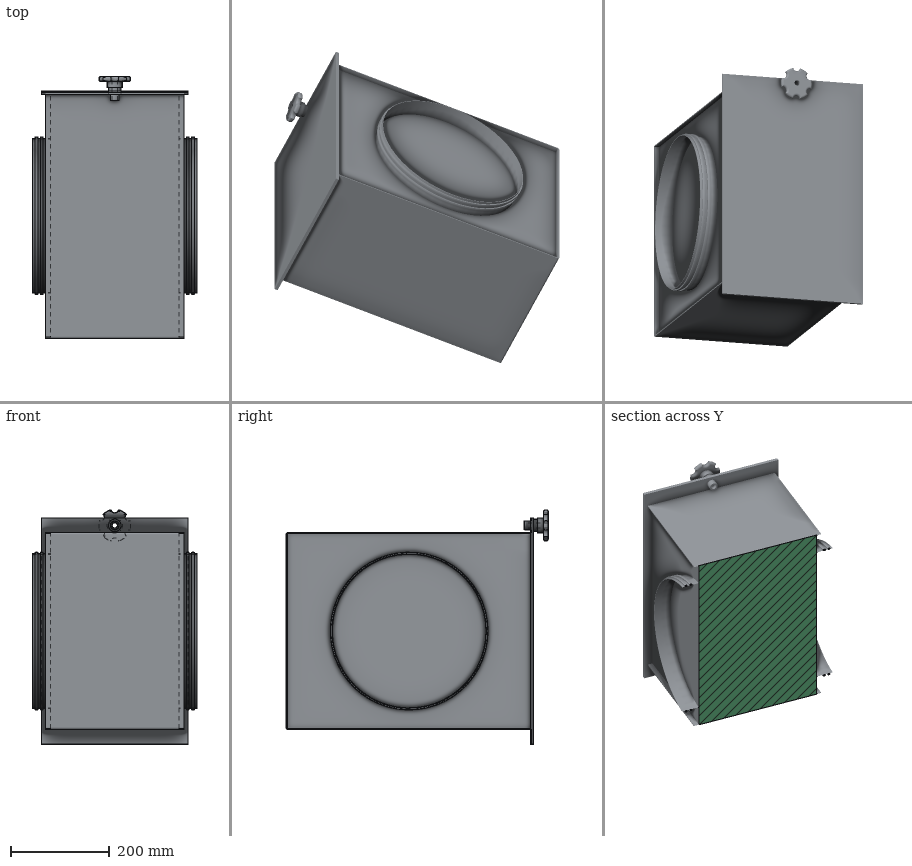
import cadquery as cq
import math

box_width = 282.0
box_height = 399.5
sheet = 3.0
edge_rim = 2.0
bend_radius = 4.0
side_recess = 10.0
flange_width = 298.0
flange_height = 459.5
flange_front = 496.0
flange_back = flange_front + sheet
cover_back = flange_back + sheet
box_bottom = (flange_height - box_height) / 2
box_centre_z = flange_height / 2

spigot_centre_y = flange_back / 2
spigot_reach = 26.0
spigot_radius = 157.0
spigot_wall = 1.0
rib_width = 6.0
rib_side_height = 2.5
rib_height = 3.0
rib_offsets = (5.5, 16.0)
spigot_end = box_width / 2 + spigot_reach
spigot_base = box_width / 2 - side_recess

lock_z = 444.0
lock_bore_radius = 5.5
nose_radius = 9.0
nose_tip = 483.0
lead_length = 2.0
lead_depth = 0.5
bushing_radius = 13.0
hub_radius = 15.5
hub_front = 509.5
knob_front = 522.0
knob_back = 532.0
knob_radius = 32.5
knob_edge_radius = 4.0
notch_count = 6
notch_radius = 7.5
notch_centre_radius = 33.0


def block(width, y_start, y_end, z_start, z_end):
    """Box centred on X between the given Y and Z limits."""
    depth = y_end - y_start
    height = z_end - z_start
    return cq.Workplane("XY").box(width, depth, height, centered=(True, False, False)).translate(
        (0, y_start, z_start)
    )


def lock_cylinder(radius, y_start, y_end):
    """Cylinder on the lock axis between two Y positions."""
    axis_plane = cq.Plane(origin=(0, y_start, lock_z), xDir=(1, 0, 0), normal=(0, 1, 0))
    return cq.Workplane(axis_plane).circle(radius).extrude(y_end - y_start)


def make_casing():
    box_top = box_bottom + box_height
    casing = block(box_width, 0, flange_front, box_bottom, box_top)
    casing = casing.edges("|X and <Y").fillet(bend_radius)
    recess = block(side_recess, sheet, flange_front, box_bottom + edge_rim, box_top - edge_rim)
    recess_centre_x = (box_width - side_recess) / 2
    for side in (-1, 1):
        casing = casing.cut(recess.translate((side * recess_centre_x, 0, 0)))
    flange = block(flange_width, flange_front, flange_back, 0, flange_height)
    lock_hole = lock_cylinder(bushing_radius, flange_front, flange_back)
    return casing.union(flange.cut(lock_hole))


def make_cover():
    cover = block(flange_width, flange_back, cover_back, 0, flange_height)
    return cover.cut(lock_cylinder(bushing_radius, flange_back, cover_back))


def make_spigot(side):
    """Thin ring with two crowned ribs; side is -1 or 1 along X."""
    profile = cq.Workplane("XY").moveTo(spigot_base, spigot_radius - spigot_wall)
    profile = profile.lineTo(spigot_end, spigot_radius - spigot_wall)
    profile = profile.lineTo(spigot_end, spigot_radius)
    for offset in rib_offsets:
        rib_start = spigot_end - offset
        profile = profile.lineTo(rib_start, spigot_radius)
        rib_finish = rib_start - rib_width
        profile = profile.lineTo(rib_start, spigot_radius + rib_side_height)
        profile = profile.threePointArc(
            (rib_start - rib_width / 2, spigot_radius + rib_height),
            (rib_finish, spigot_radius + rib_side_height),
        )
        profile = profile.lineTo(rib_finish, spigot_radius)
    profile = profile.lineTo(spigot_base, spigot_radius).close()
    spigot = profile.revolve(360, (0, 0, 0), (1, 0, 0))
    if side < 0:
        spigot = spigot.mirror("YZ")
    return spigot.translate((0, spigot_centre_y, box_centre_z))


def make_bushing():
    nose = lock_cylinder(nose_radius, nose_tip, flange_front).faces("<Y").chamfer(lead_length, lead_depth)
    bushing = lock_cylinder(bushing_radius, flange_front, hub_front).union(nose)
    return bushing.cut(lock_cylinder(lock_bore_radius, nose_tip, hub_front))


def make_knob():
    star = lock_cylinder(knob_radius, knob_front, knob_back)
    for index in range(notch_count):
        angle = math.radians(90 + index * 360 / notch_count)
        notch = lock_cylinder(notch_radius, knob_front, knob_back).translate(
            (notch_centre_radius * math.cos(angle), 0, notch_centre_radius * math.sin(angle))
        )
        star = star.cut(notch)
    star = star.faces("<Y or >Y").edges().fillet(knob_edge_radius)
    knob = star.union(lock_cylinder(hub_radius, hub_front, knob_front))
    return knob.cut(lock_cylinder(lock_bore_radius, hub_front, knob_back))


casing = make_casing()
cover = make_cover()
spigots = [make_spigot(side) for side in (-1, 1)]
bushing = make_bushing()
knob = make_knob()

result = cq.Compound.makeCompound(
    [casing.val(), cover.val(), *[spigot.val() for spigot in spigots], bushing.val(), knob.val()]
)